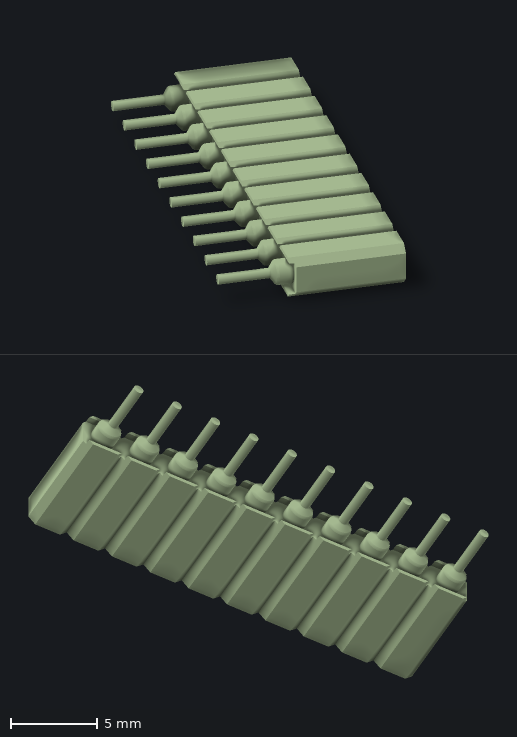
import cadquery as cq

LENGTH = 25.4
HEIGHT = 2.55
CELL_COUNT = 10
PITCH = LENGTH / CELL_COUNT
CELL_CHAMFER = 0.45

BODY_DEPTH = 6.6
LIP_DEPTH = 6.98
COLLAR_DEPTH = 7.9
PIN_DEPTH = 11.0

LIP_TIP_THICKNESS = 0.25
LIP_ROOT_THICKNESS = 0.28

COLLAR_RADIUS = 0.75
NOSE_LENGTH = 0.35
NOSE_ROUNDING = 0.2
PIN_RADIUS = 0.3


def make_cell(x):
    """One chamfered housing cell centred on x, reaching to the lip tips."""
    return (
        cq.Workplane("XZ", origin=(x, 0, 0))
        .rect(PITCH, HEIGHT)
        .extrude(LIP_DEPTH)
        .edges("|Y")
        .chamfer(CELL_CHAMFER)
    )


def make_front_recess():
    """Full-length cutter that leaves a tapered lip above and below the body front."""
    root_z = HEIGHT / 2 - LIP_ROOT_THICKNESS
    tip_z = HEIGHT / 2 - LIP_TIP_THICKNESS
    return (
        cq.Workplane("YZ")
        .polyline([
            (-BODY_DEPTH, -root_z),
            (-BODY_DEPTH, root_z),
            (-LIP_DEPTH, tip_z),
            (-LIP_DEPTH, -tip_z),
        ])
        .close()
        .extrude(LENGTH / 2, both=True)
    )


def make_contact(x):
    """Collar, nose and pin centred on x, starting at the body front."""
    collar = (
        cq.Workplane("XZ", origin=(x, -BODY_DEPTH, 0))
        .circle(COLLAR_RADIUS)
        .extrude(COLLAR_DEPTH - BODY_DEPTH)
        .faces("<Y")
        .chamfer(NOSE_LENGTH, COLLAR_RADIUS - PIN_RADIUS)
    )
    collar = collar.edges(cq.selectors.RadiusNthSelector(-1)).edges("<Y").fillet(NOSE_ROUNDING)
    pin = (
        cq.Workplane("XZ", origin=(x, -BODY_DEPTH, 0))
        .circle(PIN_RADIUS)
        .extrude(PIN_DEPTH - BODY_DEPTH)
    )
    return collar.union(pin)


cell_centres = [(i + 0.5) * PITCH - LENGTH / 2 for i in range(CELL_COUNT)]

housing = cq.Workplane("XY")
for centre in cell_centres:
    housing = housing.union(make_cell(centre))

result = housing.cut(make_front_recess())
for centre in cell_centres:
    result = result.union(make_contact(centre))
result = result.clean()